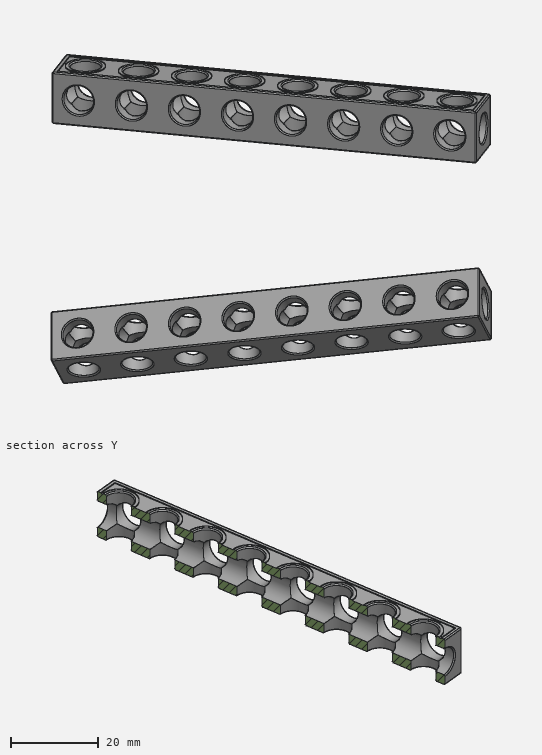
import cadquery as cq

pitch = 12.5
cell_count = 8
length = pitch * cell_count
edge_chamfer = 0.3

bore_diameter = 7.0
mouth_chamfer = 0.3

rim_width = 1.1
recess_depth = 0.2
ring_diameter = 9.2

cell_centres = [((i + 0.5) * pitch - length / 2, 0) for i in range(cell_count)]


def bore_cutters(plane, centres, depth):
    """Bores centred on the plane, running the full depth and flared at both ends."""
    bore_radius = bore_diameter / 2
    mouth_radius = bore_radius + mouth_chamfer
    cutters = cq.Workplane(plane).pushPoints(centres).circle(bore_radius).extrude(depth / 2, both=True)
    for end in (-1, 1):
        face = cq.Workplane(plane).workplane(offset=end * depth / 2)
        flares = face.pushPoints(centres).circle(mouth_radius).extrude(-end * mouth_chamfer, taper=45)
        cutters = cutters.union(flares)
    return cutters


def bored_bar():
    bar = cq.Workplane("XY").box(length, pitch, pitch).edges().chamfer(edge_chamfer)
    bar = bar.cut(bore_cutters("XY", cell_centres, pitch))
    bar = bar.cut(bore_cutters("XZ", cell_centres, pitch))
    return bar.cut(bore_cutters("YZ", [(0, 0)], length))


def top_recess():
    floor = cq.Workplane("XY").workplane(offset=pitch / 2 - recess_depth)
    pocket = floor.rect(length - 2 * rim_width, pitch - 2 * rim_width).extrude(recess_depth)
    rings = floor.pushPoints(cell_centres).circle(ring_diameter / 2).extrude(recess_depth)
    return pocket.cut(rings)


result = bored_bar().cut(top_recess())